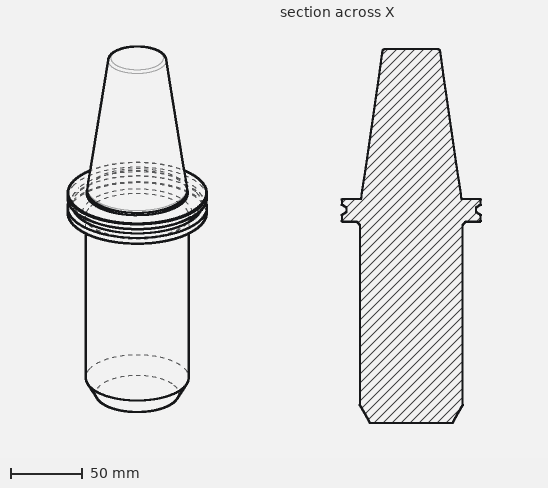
import cadquery as cq

total_length = 261.5
gauge_height = 160.0
flange_top = 156.7
flange_thickness = 16.0
flange_bottom = flange_top - flange_thickness

taper_ratio = 7 / 24
gauge_diameter = 69.8
gauge_radius = gauge_diameter / 2
tip_fillet = 2.0
gauge_band_height = 1.8
neck_flare = 0.5

flange_diameter = 97.5
flange_radius = flange_diameter / 2
flange_edge_chamfer = 0.5
groove_floor_radius = 45.5
groove_center_height = 149.0
groove_floor_width = 3.1
groove_mouth_width = 7.0

body_radius = 36.0
collar_chamfer = 2.4
nose_radius = 29.0
nose_height = 12.5


def taper_radius(height):
    """Radius of the tapered shank at a height above the nose end."""
    return gauge_radius - (height - gauge_height) * taper_ratio / 2


gauge_band_bottom = gauge_height - gauge_band_height

body_outline = [
    (0, 0),
    (nose_radius, 0),
    (body_radius, nose_height),
    (body_radius, flange_bottom - collar_chamfer),
    (body_radius + collar_chamfer, flange_bottom),
]

flange_outline = [
    (flange_radius - flange_edge_chamfer, flange_bottom),
    (flange_radius, flange_bottom + flange_edge_chamfer),
    (flange_radius, groove_center_height - groove_mouth_width / 2),
    (groove_floor_radius, groove_center_height - groove_floor_width / 2),
    (groove_floor_radius, groove_center_height + groove_floor_width / 2),
    (flange_radius, groove_center_height + groove_mouth_width / 2),
    (flange_radius, flange_top - flange_edge_chamfer),
    (flange_radius - flange_edge_chamfer, flange_top),
]

shank_outline = [
    (gauge_radius + neck_flare, flange_top),
    (gauge_radius, gauge_band_bottom),
    (gauge_radius, gauge_height),
    (taper_radius(total_length), total_length),
    (0, total_length),
]

result = (
    cq.Workplane("XZ")
    .polyline(body_outline + flange_outline + shank_outline)
    .close()
    .revolve(360, (0, 0, 0), (0, 1, 0))
    .faces(">Z")
    .edges()
    .fillet(tip_fillet)
)